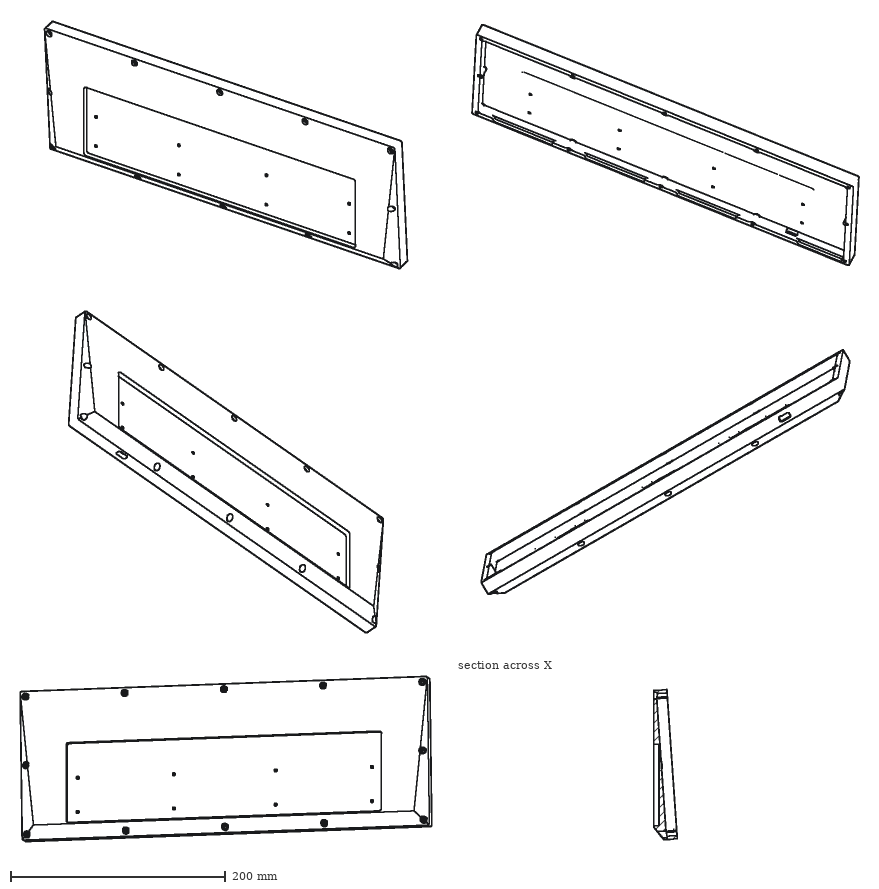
import cadquery as cq
import math


LENGTH = 387.5
HEIGHT = 140.0
DEPTH = 12.5
CORNER_RADIUS = 2.0
TILT = 4.0
WALL = 6.0
FLOOR = 2.5

FACET_ANGLE = 35.0

SCREW_INSET = 5.0
SCREW_COLUMNS = 5
SCREW_DIAMETER = 3.0
HEAD_DIAMETER = 6.0
HEAD_SEAT = 3.0
BOSS_RADIUS = 3.25
BOSS_FILLET = 2.0

RECESS_LENGTH = 300.0
RECESS_HEIGHT = 75.9
RECESS_TOP = 50.4
RECESS_DEPTH = 5.0
RECESS_RADIUS = 2.5
MOUNT_DIAMETER = 2.5
MOUNT_COLUMNS = (48.4, 140.0)
MOUNT_ROWS = (-83.2, -115.7)

NOTCH_LENGTH = 64.8
NOTCH_DEPTH = 3.0
NOTCH_REACH = 4.4
NOTCH_CLEARANCE = 5.0
END_NOTCH_RIGHT = -138.5

PORT_X = -131.5
PORT_WIDTH = 11.0
PORT_HEIGHT = 5.0
PORT_BELOW_RIM = 7.3
PORT_RADIUS = 1.5

TILT_SLOPE = math.tan(math.radians(TILT))
FACET_SLOPE = math.tan(math.radians(FACET_ANGLE))
NOTCH_RADIUS = NOTCH_REACH / 2
WEDGE_INSET = HEIGHT * TILT_SLOPE / (FACET_SLOPE + TILT_SLOPE)
WEDGE_RISE = WEDGE_INSET * FACET_SLOPE
HALF_LENGTH = LENGTH / 2
SCREW_PITCH = (LENGTH - 2 * SCREW_INSET) / (SCREW_COLUMNS - 1)
SCREW_XS = [-HALF_LENGTH + SCREW_INSET + i * SCREW_PITCH for i in range(SCREW_COLUMNS)]
SCREW_ROWS = (-SCREW_INSET, SCREW_INSET - HEIGHT)
MIDDLE_Z = -HEIGHT / 2
SCREWS = [(x, z) for x in SCREW_XS for z in SCREW_ROWS]
SCREWS += [(x, MIDDLE_Z) for x in (SCREW_XS[0], SCREW_XS[-1])]
OVERRUN = 1.0


def facing_back(y):
    """Sketch plane at depth y with sketch axes X and Z, extruding towards the front (-Y)."""
    return cq.Workplane("XZ", origin=(0, y, 0))


def make_body():
    """Tray block with the wedge that brings its front face upright."""
    lower_front_edge = (-WEDGE_RISE, WEDGE_INSET - HEIGHT)
    profile = (
        cq.Workplane("YZ")
        .polyline([(0, 0), (DEPTH, 0), (DEPTH, -HEIGHT), (0, -HEIGHT), lower_front_edge])
        .close()
        .extrude(HALF_LENGTH, both=True)
    )
    front_half_length = HALF_LENGTH - WEDGE_INSET
    plan = (
        cq.Workplane("XY")
        .polyline([
            (-HALF_LENGTH, DEPTH),
            (HALF_LENGTH, DEPTH),
            (HALF_LENGTH, 0),
            (front_half_length, -WEDGE_RISE),
            (-front_half_length, -WEDGE_RISE),
            (-HALF_LENGTH, 0),
        ])
        .close()
        .extrude(-HEIGHT)
    )
    outline = (
        facing_back(DEPTH)
        .center(0, MIDDLE_Z)
        .rect(LENGTH, HEIGHT)
        .extrude(DEPTH + WEDGE_RISE)
        .edges("|Y")
        .fillet(CORNER_RADIUS)
    )
    return profile.intersect(plan).intersect(outline)


def make_boss(wall_point, along, inward):
    """Half-round screw boss on a cavity wall, blended into the wall by concave fillets.

    wall_point is the point of the wall face nearest the screw. along and inward are unit (X, Z)
    directions along that face and into the cavity.
    """
    screw_behind_wall = WALL - SCREW_INSET
    blend_height = screw_behind_wall + BOSS_FILLET
    reach = BOSS_RADIUS + BOSS_FILLET
    foot = math.sqrt(reach**2 - blend_height**2)
    touch = BOSS_RADIUS / reach
    lowest_angle = 1.5 * math.pi
    facing_screw_angle = math.pi + math.atan2(blend_height, foot)
    blend_angle = (lowest_angle + facing_screw_angle) / 2

    def place(a, b):
        return (
            wall_point[0] + a * along[0] + b * inward[0],
            wall_point[1] + a * along[1] + b * inward[1],
        )

    blend_a = foot + BOSS_FILLET * math.cos(blend_angle)
    blend_b = BOSS_FILLET + BOSS_FILLET * math.sin(blend_angle)
    touch_a = foot * touch
    touch_b = blend_height * touch - screw_behind_wall
    return (
        facing_back(DEPTH)
        .moveTo(*place(-foot, -OVERRUN))
        .lineTo(*place(-foot, 0))
        .threePointArc(place(-blend_a, blend_b), place(-touch_a, touch_b))
        .threePointArc(place(0, BOSS_RADIUS - screw_behind_wall), place(touch_a, touch_b))
        .threePointArc(place(blend_a, blend_b), place(foot, 0))
        .lineTo(*place(foot, -OVERRUN))
        .close()
        .extrude(DEPTH - FLOOR)
    )


def make_cavity():
    """Space inside the tray walls, less the screw bosses."""
    cavity = (
        facing_back(DEPTH)
        .center(0, MIDDLE_Z)
        .rect(LENGTH - 2 * WALL, HEIGHT - 2 * WALL)
        .extrude(DEPTH - FLOOR)
    )
    for x in SCREW_XS:
        cavity = cavity.cut(make_boss((x, -WALL), (1, 0), (0, -1)))
        cavity = cavity.cut(make_boss((x, WALL - HEIGHT), (1, 0), (0, 1)))
    for z in (SCREW_ROWS[0], MIDDLE_Z, SCREW_ROWS[1]):
        cavity = cavity.cut(make_boss((WALL - HALF_LENGTH, z), (0, 1), (1, 0)))
        cavity = cavity.cut(make_boss((HALF_LENGTH - WALL, z), (0, 1), (-1, 0)))
    return cavity


def make_screw_holes():
    """Through holes with head counterbores sunk from the front."""
    holes = facing_back(DEPTH + OVERRUN).pushPoints(SCREWS).circle(SCREW_DIAMETER / 2)
    holes = holes.extrude(DEPTH + WEDGE_RISE + 2 * OVERRUN)
    heads = facing_back(HEAD_SEAT).pushPoints(SCREWS).circle(HEAD_DIAMETER / 2)
    return holes.union(heads.extrude(HEAD_SEAT + WEDGE_RISE + OVERRUN))


def make_notch(left, right):
    """Notch in the bottom wall whose ends run from a rounded mouth into a rounded root."""
    mouth = WALL - HEIGHT
    middle = mouth - NOTCH_RADIUS
    root = mouth - NOTCH_REACH
    bend = NOTCH_RADIUS
    bend_inner = bend * (1 - math.sqrt(0.5))
    return (
        facing_back(DEPTH)
        .moveTo(left, mouth)
        .threePointArc((left + bend - bend_inner, mouth - bend_inner), (left + bend, middle))
        .threePointArc((left + bend + bend_inner, root + bend_inner), (left + 2 * bend, root))
        .lineTo(right - 2 * bend, root)
        .threePointArc((right - bend - bend_inner, root + bend_inner), (right - bend, middle))
        .threePointArc((right - bend + bend_inner, mouth - bend_inner), (right, mouth))
        .lineTo(right, mouth + NOTCH_CLEARANCE)
        .lineTo(left, mouth + NOTCH_CLEARANCE)
        .close()
        .extrude(NOTCH_DEPTH)
    )


def make_port():
    """Rounded cable opening through the bottom wall."""
    return (
        cq.Workplane("XY", origin=(PORT_X, DEPTH - PORT_BELOW_RIM, -HEIGHT - OVERRUN))
        .rect(PORT_WIDTH, PORT_HEIGHT)
        .extrude(WALL + 2 * OVERRUN)
        .edges("|Z")
        .fillet(PORT_RADIUS)
    )


def make_recess():
    """Recess cut square to the upright front face, in the tilted position."""
    return (
        facing_back(RECESS_DEPTH)
        .center(0, -RECESS_TOP - RECESS_HEIGHT / 2)
        .rect(RECESS_LENGTH, RECESS_HEIGHT)
        .extrude(RECESS_DEPTH + OVERRUN)
        .edges("|Y")
        .fillet(RECESS_RADIUS)
    )


def make_mount_holes():
    """Holes from the recess into the cavity, in the tilted position."""
    points = [(side * x, z) for x in MOUNT_COLUMNS for z in MOUNT_ROWS for side in (-1, 1)]
    reach = DEPTH + WEDGE_RISE
    return facing_back(reach).pushPoints(points).circle(MOUNT_DIAMETER / 2).extrude(reach)


case = make_body().cut(make_cavity()).cut(make_screw_holes()).cut(make_port())
case = case.cut(make_notch(WALL - HALF_LENGTH, END_NOTCH_RIGHT))
for bay in range(1, SCREW_COLUMNS - 1):
    bay_center = (SCREW_XS[bay] + SCREW_XS[bay + 1]) / 2
    case = case.cut(make_notch(bay_center - NOTCH_LENGTH / 2, bay_center + NOTCH_LENGTH / 2))

case = case.rotate((0, 0, 0), (1, 0, 0), TILT)
result = case.cut(make_recess()).cut(make_mount_holes())